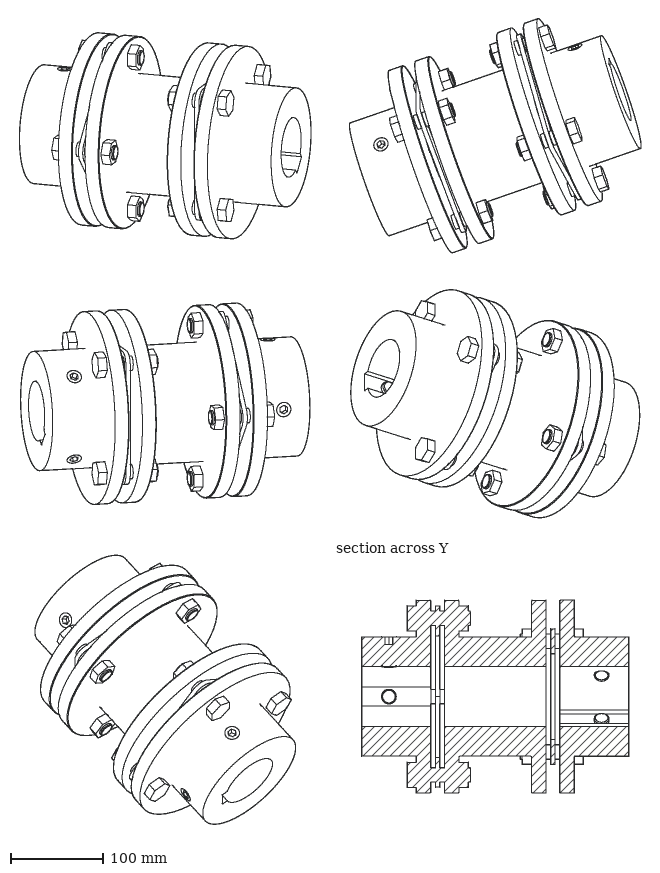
import cadquery as cq
import math


total_length = 290.0
hub_length = 75.0
hub_radius = 65.0
bore_radius = hub_radius / 2
flange_radius = 105.0
flange_thickness = 16.0
flange_gap = 14.8
edge_chamfer = 1.0
root_fillet = 1.0

bolt_count = 4
bolt_circle_radius = 85.0
bolt_radius = 16.0 / 2
bolt_head_flats = 24.0
bolt_head_height = 10.0
bolt_end_length = 2.5
bolt_end_chamfer = 1.0
disc_thickness = 5.0
disc_lobe_radius = 13.5

keyway_width = 21.0
keyway_depth_radius = 37.5
screw_radius = 16.0 / 2
screw_tip_clearance = 0.15
screw_head_sink = 0.15
screw_tip_chamfer = 1.2
socket_flats = 8.0
socket_depth = 8.0

middle = total_length / 2
hub_flange_start = hub_length - flange_thickness
screw_x = hub_flange_start / 2
spacer_start = hub_length + flange_gap
spacer_length = total_length - 2 * spacer_start
spacer_flange_end = spacer_start + flange_thickness
screw_tip = bore_radius + screw_tip_clearance
screw_top = hub_radius - screw_head_sink
disc_start = hub_length + (flange_gap - disc_thickness) / 2
right_half_turn = 360 / bolt_count / 2


def across_corners(flats):
    return flats / math.cos(math.pi / 6)


def disc_along_x(radius, start, length):
    return cq.Workplane("YZ", origin=(start, 0, 0)).circle(radius).extrude(length)


def flange(start):
    """Flange disc with the edge broken on its +X side."""
    disc = disc_along_x(flange_radius, start, flange_thickness)
    return disc.faces(">X").edges().chamfer(edge_chamfer)


def round_root(body, root_x):
    """Fillet the circle where the tube meets the flange face at root_x."""
    reach = hub_radius + root_fillet
    root = cq.selectors.BoxSelector(
        (root_x - root_fillet, -reach, -reach),
        (root_x + root_fillet, reach, reach),
        boundingbox=True,
    )
    return body.edges(root).fillet(root_fillet)


def set_screw():
    """Upright socket screw, from just above the bore to just under the hub surface."""
    screw = cq.Workplane("XY", origin=(screw_x, 0, screw_tip))
    screw = screw.circle(screw_radius).extrude(screw_top - screw_tip)
    screw = screw.faces("<Z").chamfer(screw_tip_chamfer)
    socket = cq.Workplane("XY", origin=(screw_x, 0, screw_top - socket_depth))
    socket = socket.transformed(rotate=(0, 0, 90))
    socket = socket.polygon(6, across_corners(socket_flats)).extrude(socket_depth)
    return screw.cut(socket)


def hub():
    body = disc_along_x(hub_radius, 0, hub_length).union(flange(hub_flange_start))
    body = round_root(body, hub_flange_start)
    body = body.cut(disc_along_x(bore_radius, 0, hub_length))
    keyway = cq.Workplane("XY").box(
        hub_length, keyway_depth_radius, keyway_width, centered=(False, False, True)
    )
    body = body.cut(keyway)
    screw_hole = cq.Workplane("XY", origin=(screw_x, 0, 0))
    screw_hole = screw_hole.circle(screw_radius).extrude(flange_radius)
    for angle in (0, -90):
        body = body.cut(screw_hole.rotate((0, 0, 0), (1, 0, 0), angle))
        body = body.union(set_screw().rotate((0, 0, 0), (1, 0, 0), angle))
    return body


def spacer():
    """Tube between the disc packs with a flange at each end."""
    left_flange = flange(spacer_start)
    right_flange = left_flange.mirror("YZ", (middle, 0, 0))
    body = disc_along_x(hub_radius, spacer_start, spacer_length)
    body = body.union(left_flange).union(right_flange)
    for root_x in (spacer_flange_end, total_length - spacer_flange_end):
        body = round_root(body, root_x)
    return body.cut(disc_along_x(bore_radius, spacer_start, spacer_length))


def disc_pack():
    """Square ring with a rounded lobe around every bolt."""
    outer_side = math.sqrt(2) * bolt_circle_radius + 2 * disc_lobe_radius
    inner_side = outer_side - 4 * disc_lobe_radius
    plane = cq.Workplane("YZ", origin=(disc_start, 0, 0))
    ring = plane.rect(outer_side, outer_side).extrude(disc_thickness)
    ring = ring.edges("|X").fillet(disc_lobe_radius)
    ring = ring.cut(plane.rect(inner_side, inner_side).extrude(disc_thickness))
    return ring.rotate((0, 0, 0), (1, 0, 0), right_half_turn)


def bolt():
    """Topmost bolt: head on the hub side, nut on the spacer side."""
    head_start = hub_flange_start - bolt_head_height
    bolt_end = spacer_flange_end + bolt_head_height + bolt_end_length
    shank = disc_along_x(bolt_radius, head_start, bolt_end - head_start)
    shank = shank.faces(">X").chamfer(bolt_end_chamfer)
    for start in (head_start, spacer_flange_end):
        hexagon = cq.Workplane("YZ", origin=(start, 0, 0)).transformed(rotate=(0, 0, 90))
        hexagon = hexagon.polygon(6, across_corners(bolt_head_flats))
        shank = shank.union(hexagon.extrude(bolt_head_height))
    return shank.translate((0, 0, bolt_circle_radius))


def shaft_end():
    """Left hub with its disc pack and the bolts that reach into the spacer."""
    body = hub().union(disc_pack())
    for index in range(bolt_count):
        turn = index * 360 / bolt_count
        body = body.union(bolt().rotate((0, 0, 0), (1, 0, 0), turn))
    return body


left_end = shaft_end()
right_end = left_end.mirror("YZ", (middle, 0, 0))
right_end = right_end.rotate((0, 0, 0), (1, 0, 0), -right_half_turn)
result = spacer().union(left_end).union(right_end)